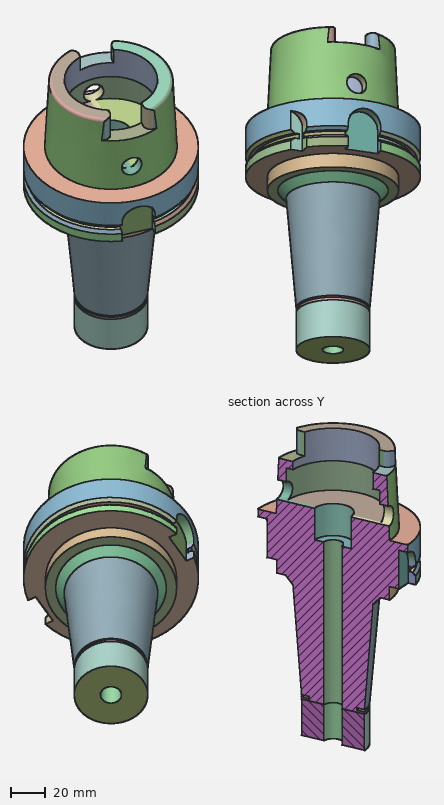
import cadquery as cq

TOTAL_HEIGHT = 185.0
NUT_HEIGHT = 22.5
LIP_HEIGHT = 1.7
RELIEF_HEIGHT = 1.1
SHANK_LENGTH = 50.0
FLANGE_HEIGHT = 29.0
COLLAR_HEIGHT = 8.3
SHOULDER_HEIGHT = 5.0
FLANGE_TOP = TOTAL_HEIGHT - SHANK_LENGTH
FLANGE_BOTTOM = FLANGE_TOP - FLANGE_HEIGHT
COLLAR_BOTTOM = FLANGE_BOTTOM - COLLAR_HEIGHT
SHOULDER_BOTTOM = COLLAR_BOTTOM - SHOULDER_HEIGHT
LIP_TOP = NUT_HEIGHT + LIP_HEIGHT
NECK_BOTTOM = LIP_TOP + RELIEF_HEIGHT

FLANGE_DIAMETER = 100.0
FLANGE_RADIUS = FLANGE_DIAMETER / 2
SHANK_TOP_RADIUS = 35.5
SHANK_BASE_RADIUS = 38.0
COLLAR_RADIUS = 37.5
SHOULDER_TOP_RADIUS = 31.6
NECK_TOP_RADIUS = 26.8
NUT_RADIUS = 21.0
RELIEF_RADIUS = 16.1
RIM_FILLET = 1.8

GROOVE_RADIUS = 46.0
GROOVE_RISE = 7.4
GROOVE_WIDTH = 3.0
GROOVE_FLOOR_BOTTOM = FLANGE_BOTTOM + GROOVE_RISE
GROOVE_FLOOR_TOP = GROOVE_FLOOR_BOTTOM + GROOVE_WIDTH
GROOVE_CHAMFER = 1.8

MOUTH_RADIUS = 26.6
MOUTH_DEPTH = 20.4
CAVITY_RADIUS = 31.0
CAVITY_DEPTH = 40.7
COUNTERBORE_RADIUS = 12.0
COUNTERBORE_DEPTH = 20.0
HOLE_DIAMETER = 12.0
CROSS_HOLE_RISE = 15.0
CROSS_HOLE_HEIGHT = FLANGE_TOP + CROSS_HOLE_RISE

DRIVE_SLOT_WIDTH = 20.0
DRIVE_SLOT_DEPTHS = {-1: 10.0, 1: 15.0}
DRIVE_SLOT_MOUTH_X = 32.2
DRIVE_SLOT_CORNER = 4.6

NOTCH_WIDTH = 20.0
NOTCH_RISE = 24.0
NOTCH_FLOOR_X = 44.0
SIDE_NOTCH_Y = 41.5
SIDE_NOTCH_FLOOR_X = 31.8


def cylinder(radius, bottom, top):
    return cq.Workplane("XY").workplane(offset=bottom).circle(radius).extrude(top - bottom)


def turned_body():
    profile = [
        (0, NUT_HEIGHT),
        (NUT_RADIUS, NUT_HEIGHT),
        (NUT_RADIUS, LIP_TOP),
        (RELIEF_RADIUS, LIP_TOP),
        (RELIEF_RADIUS, NECK_BOTTOM),
        (NUT_RADIUS, NECK_BOTTOM),
        (NECK_TOP_RADIUS, SHOULDER_BOTTOM),
        (SHOULDER_TOP_RADIUS, COLLAR_BOTTOM),
        (COLLAR_RADIUS, COLLAR_BOTTOM),
        (COLLAR_RADIUS, FLANGE_BOTTOM),
        (FLANGE_RADIUS, FLANGE_BOTTOM),
        (FLANGE_RADIUS, GROOVE_FLOOR_BOTTOM - GROOVE_CHAMFER),
        (FLANGE_RADIUS - GROOVE_CHAMFER, GROOVE_FLOOR_BOTTOM),
        (GROOVE_RADIUS, GROOVE_FLOOR_BOTTOM),
        (GROOVE_RADIUS, GROOVE_FLOOR_TOP),
        (FLANGE_RADIUS - GROOVE_CHAMFER, GROOVE_FLOOR_TOP),
        (FLANGE_RADIUS, GROOVE_FLOOR_TOP + GROOVE_CHAMFER),
        (FLANGE_RADIUS, FLANGE_TOP),
        (SHANK_BASE_RADIUS, FLANGE_TOP),
        (SHANK_TOP_RADIUS, TOTAL_HEIGHT),
        (0, TOTAL_HEIGHT),
    ]
    body = cq.Workplane("XZ").polyline(profile).close().revolve(360, (0, 0), (0, 1))
    return body.faces(">Z").edges().fillet(RIM_FILLET)


def axial_bores():
    cavity_floor = TOTAL_HEIGHT - CAVITY_DEPTH
    mouth = cylinder(MOUTH_RADIUS, cavity_floor, TOTAL_HEIGHT)
    cavity = cylinder(CAVITY_RADIUS, cavity_floor, TOTAL_HEIGHT - MOUTH_DEPTH)
    counterbore = cylinder(COUNTERBORE_RADIUS, cavity_floor - COUNTERBORE_DEPTH, cavity_floor)
    through_hole = cylinder(HOLE_DIAMETER / 2, 0, TOTAL_HEIGHT)
    return mouth.union(cavity).union(counterbore).union(through_hole)


def cross_hole():
    return (
        cq.Workplane("YZ")
        .center(0, CROSS_HOLE_HEIGHT)
        .circle(HOLE_DIAMETER / 2)
        .extrude(FLANGE_RADIUS, both=True)
    )


def drive_slot(side):
    depth = DRIVE_SLOT_DEPTHS[side]
    half_width = DRIVE_SLOT_WIDTH / 2
    mouth_x = side * DRIVE_SLOT_MOUTH_X
    corner_x = mouth_x - side * DRIVE_SLOT_CORNER
    outer_x = side * FLANGE_RADIUS
    slot = cq.Workplane("XY").workplane(offset=TOTAL_HEIGHT - depth)
    return (
        slot.moveTo(0, -half_width)
        .lineTo(corner_x, -half_width)
        .tangentArcPoint((mouth_x, -half_width - DRIVE_SLOT_CORNER), relative=False)
        .lineTo(mouth_x, -FLANGE_RADIUS)
        .lineTo(outer_x, -FLANGE_RADIUS)
        .lineTo(outer_x, FLANGE_RADIUS)
        .lineTo(mouth_x, FLANGE_RADIUS)
        .lineTo(mouth_x, half_width + DRIVE_SLOT_CORNER)
        .tangentArcPoint((corner_x, half_width), relative=False)
        .lineTo(0, half_width)
        .close()
        .extrude(depth)
    )


def arched_notch(side, center_y, floor_x):
    arch_radius = NOTCH_WIDTH / 2
    spring_height = FLANGE_BOTTOM + NOTCH_RISE - arch_radius
    return (
        cq.Workplane("YZ")
        .workplane(offset=side * floor_x)
        .moveTo(center_y - arch_radius, FLANGE_BOTTOM)
        .lineTo(center_y - arch_radius, spring_height)
        .threePointArc((center_y, spring_height + arch_radius), (center_y + arch_radius, spring_height))
        .lineTo(center_y + arch_radius, FLANGE_BOTTOM)
        .close()
        .extrude(side * FLANGE_RADIUS)
    )


def make_holder():
    holder = turned_body().cut(axial_bores()).cut(cross_hole())
    for side in (-1, 1):
        holder = holder.cut(drive_slot(side)).cut(arched_notch(side, 0, NOTCH_FLOOR_X))
    return holder.cut(arched_notch(-1, SIDE_NOTCH_Y, SIDE_NOTCH_FLOOR_X))


def make_nut():
    return cylinder(NUT_RADIUS, 0, NUT_HEIGHT).cut(cylinder(HOLE_DIAMETER / 2, 0, NUT_HEIGHT))


holder = make_holder()
nut = make_nut()

result = cq.Compound.makeCompound([holder.val(), nut.val()])